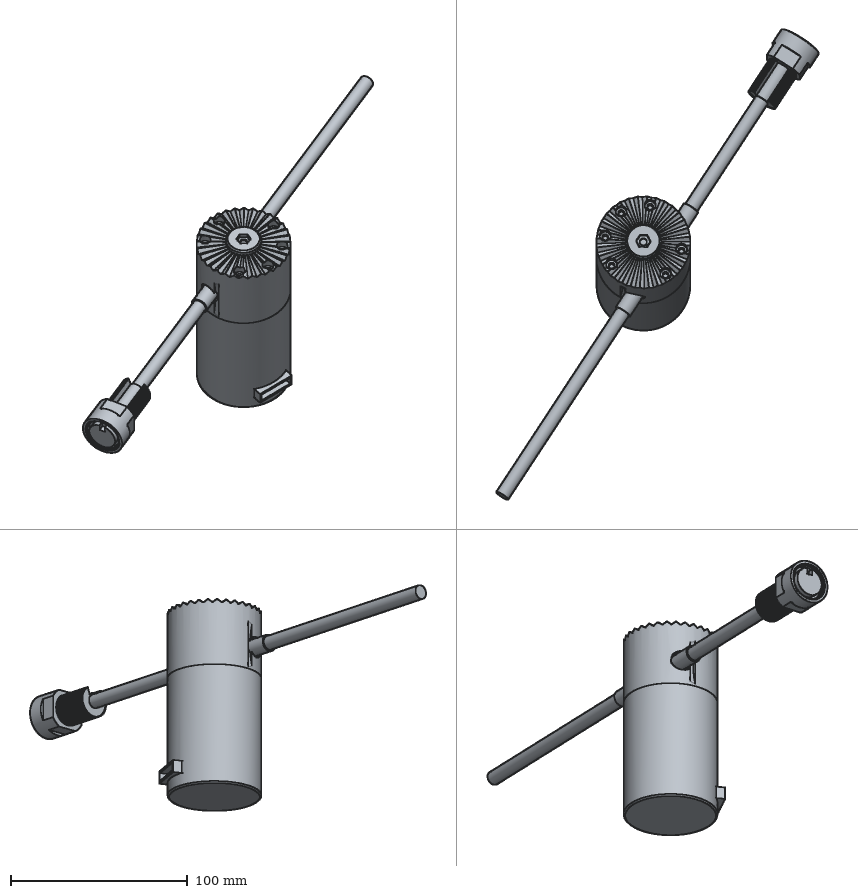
import cadquery as cq
import math


BODY_R = 26.5
HOUSING_H = 70.5
HEAD_TOP = 109.2
BOTTOM_CHAMFER = 1.0

TOOTH_COUNT = 32
TOOTH_DEPTH = 2.0
GAP_SHARE = 0.96
GAP_INNER_R = 6.3
GAP_OUTER_R = 28.2

SCREW_ANGLES = (22.5, 67.5, 157.5)
SCREW_CIRCLE_R = 22.0
SCREW_BORE_D = 6.3
SCREW_BORE_DEPTH = 4.7
SCREW_HOLE_D = 3.5
SCREW_HOLE_DEPTH = 9.5

BUTTON_D = 20.0
BUTTON_TOP = 112.0
BUTTON_SEAT_DEPTH = 2.5
BUTTON_CHAMFER = 1.0
HEX_D = 8.0
HEX_DEPTH = 2.5
PILOT_D = 4.0
PILOT_DEPTH = 1.3

CABLE_X = -9.0
CABLE_Z = 85.0
CABLE_D = 8.0
CABLE_BACK_Y = 162.5
GLAND_D = 9.7
GLAND_INNER_Y = 17.2
GLAND_END_Y = 35.7

CLEARANCE_D = 12.0
CLEARANCE_INNER_Y = 20.5
SLOT_X = -1.5
SLOT_W = 3.0
SLOT_DEPTH = 2.2
SLOT_HALF_HEIGHT = 13.5

GRIP_D = 18.0
GRIP_BACK_Y = -110.2
GRIP_RING_COUNT = 24
GRIP_GROOVE_DEPTH = 0.3
KEYWAY_HALF_TOP = 5.5
KEYWAY_HALF_FLOOR = 2.2
KEYWAY_FLOOR_R = 5.0
COLLAR_D = 25.5
COLLAR_BACK_Y = -132.7
COLLAR_FLAT_END_Y = -141.2
COLLAR_FLATS = 22.0
COLLAR_FRONT_Y = -150.2
FACE_STEP_D = 22.0
FACE_STEP_DEPTH = 1.0
FACE_BORE_D = 20.0
FACE_BORE_DEPTH = 3.0
INSERT_D = 16.5
INSERT_FRONT_Y = -150.5
KEY_NOTCH_W = 3.5
KEY_NOTCH_R = 4.5

SOCKET_ANGLE = -22.5
SOCKET_INNER_R = 18.8
SOCKET_OUTER_R = 29.0
SOCKET_W = 23.2
SOCKET_BOTTOM = 8.0
SOCKET_H = 7.2
SOCKET_WALL = 1.3
SOCKET_OPENING_DEPTH = 4.7


def cable_line_rod(diameter, y_start, y_end):
    """A rod on the cable line between two Y positions, y_start < y_end."""
    origin = cq.Vector(CABLE_X, y_start, CABLE_Z)
    return cq.Workplane(cq.Solid.makeCylinder(diameter / 2, y_end - y_start, origin, cq.Vector(0, 1, 0)))


def vertical_rod(diameter, z_start, z_end, x=0, y=0):
    """A rod parallel to Z."""
    return cq.Workplane(cq.Solid.makeCylinder(diameter / 2, z_end - z_start, cq.Vector(x, y, z_start)))




def socket_block():
    """The socket's outer block, turned to its place on the housing."""
    length = SOCKET_OUTER_R - SOCKET_INNER_R
    block = cq.Workplane("XY").box(length, SOCKET_W, SOCKET_H, centered=(False, True, False))
    return block.translate((SOCKET_INNER_R, 0, SOCKET_BOTTOM)).rotate((0, 0, 0), (0, 0, 1), SOCKET_ANGLE)


def make_socket():
    """The block with a rectangular opening in its outer face."""
    opening = (
        cq.Workplane("XY")
        .box(
            SOCKET_OPENING_DEPTH,
            SOCKET_W - 2 * SOCKET_WALL,
            SOCKET_H - 2 * SOCKET_WALL,
            centered=(False, True, False),
        )
        .translate((SOCKET_OUTER_R - SOCKET_OPENING_DEPTH, 0, SOCKET_BOTTOM + SOCKET_WALL))
        .rotate((0, 0, 0), (0, 0, 1), SOCKET_ANGLE)
    )
    return socket_block().cut(opening)




def make_housing():
    """The lower can, with a seat for the socket."""
    can = cq.Workplane("XY").circle(BODY_R).extrude(HOUSING_H)
    return can.faces("<Z").chamfer(BOTTOM_CHAMFER).cut(socket_block())




def tooth_gap():
    """A V-shaped gap along +X, wider and deeper with distance from the axis."""

    def v_section(radius):
        half_width = GAP_SHARE * radius * math.tan(math.pi / TOOTH_COUNT)
        depth = TOOTH_DEPTH * radius / BODY_R
        corners = [
            cq.Vector(radius, half_width, HEAD_TOP),
            cq.Vector(radius, -half_width, HEAD_TOP),
            cq.Vector(radius, 0, HEAD_TOP - depth),
        ]
        return cq.Wire.makePolygon(corners, close=True)

    return cq.Solid.makeLoft([v_section(GAP_INNER_R), v_section(GAP_OUTER_R)], True)


def cut_teeth(head):
    """Gaps at equal angles around the axis."""
    gap = tooth_gap()
    step = 360 / TOOTH_COUNT
    gaps = [gap.rotate(cq.Vector(0, 0, 0), cq.Vector(0, 0, 1), i * step) for i in range(TOOTH_COUNT)]
    return head.cut(cq.Workplane(cq.Compound.makeCompound(gaps)))


def cut_screw_holes(head):
    """Counterbored holes on one circle, mirrored in the XZ plane."""
    for angle in SCREW_ANGLES:
        x = SCREW_CIRCLE_R * math.cos(math.radians(angle))
        y_offset = SCREW_CIRCLE_R * math.sin(math.radians(angle))
        for y in (-y_offset, y_offset):
            head = head.cut(vertical_rod(SCREW_BORE_D, HEAD_TOP - SCREW_BORE_DEPTH, HEAD_TOP, x, y))
            head = head.cut(vertical_rod(SCREW_HOLE_D, HEAD_TOP - SCREW_HOLE_DEPTH, HEAD_TOP, x, y))
    return head


def cut_gland_seats(head):
    """A gland hole with a wider clearance bore at its mouth, at the front and at the back."""
    head = head.cut(cable_line_rod(GLAND_D, -BODY_R, -GLAND_INNER_Y))
    head = head.cut(cable_line_rod(GLAND_D, GLAND_INNER_Y, BODY_R))
    head = head.cut(cable_line_rod(CLEARANCE_D, -BODY_R, -CLEARANCE_INNER_Y))
    return head.cut(cable_line_rod(CLEARANCE_D, CLEARANCE_INNER_Y, BODY_R))


def cut_slots(head):
    """Narrow upright slots at the front and back; their floors are arcs about an axis along X."""
    arc_r = (SLOT_HALF_HEIGHT**2 + SLOT_DEPTH**2) / (2 * SLOT_DEPTH)
    arc_y = BODY_R - SLOT_DEPTH + arc_r
    for side in (-1, 1):
        start = cq.Vector(SLOT_X - SLOT_W, side * arc_y, CABLE_Z)
        cutter = cq.Solid.makeCylinder(arc_r, SLOT_W, start, cq.Vector(1, 0, 0))
        head = head.cut(cq.Workplane(cutter))
    return head


def make_head():
    """The upper body, with every feature cut into it."""
    head = cq.Workplane("XY").workplane(offset=HOUSING_H).circle(BODY_R).extrude(HEAD_TOP - HOUSING_H)
    head = cut_teeth(head)
    head = cut_screw_holes(head)
    head = cut_gland_seats(head)
    head = cut_slots(head)
    return head.cut(vertical_rod(BUTTON_D, HEAD_TOP - BUTTON_SEAT_DEPTH, HEAD_TOP))




def make_button():
    """The chamfered centre screw with a hexagonal socket and a round pilot below it."""
    button = vertical_rod(BUTTON_D, HEAD_TOP - BUTTON_SEAT_DEPTH, BUTTON_TOP)
    button = button.faces(">Z").chamfer(BUTTON_CHAMFER)
    hexagon = (
        cq.Workplane("XY")
        .workplane(offset=BUTTON_TOP - HEX_DEPTH)
        .transformed(rotate=(0, 0, 90))
        .polygon(6, HEX_D)
        .extrude(HEX_DEPTH)
    )
    pilot_bottom = BUTTON_TOP - HEX_DEPTH - PILOT_DEPTH
    return button.cut(hexagon).cut(vertical_rod(PILOT_D, pilot_bottom, BUTTON_TOP))




def make_glands():
    """Two sleeves that reach into the head from the front and the back."""
    return [
        cable_line_rod(GLAND_D, -GLAND_END_Y, -GLAND_INNER_Y).val(),
        cable_line_rod(GLAND_D, GLAND_INNER_Y, GLAND_END_Y).val(),
    ]


def make_cables():
    """The front cable, from gland to plug, and the longer back cable."""
    return [
        cable_line_rod(CABLE_D, GRIP_BACK_Y, -GLAND_END_Y).val(),
        cable_line_rod(CABLE_D, GLAND_END_Y, CABLE_BACK_Y).val(),
    ]




def make_grip():
    """The ringed grip with one flared keyway along its top."""
    grip = cable_line_rod(GRIP_D, COLLAR_BACK_Y, GRIP_BACK_Y)
    pitch = (GRIP_BACK_Y - COLLAR_BACK_Y) / GRIP_RING_COUNT
    groove_w = pitch / 2
    for i in range(GRIP_RING_COUNT):
        y = COLLAR_BACK_Y + i * pitch
        groove = cable_line_rod(GRIP_D, y, y + groove_w)
        grip = grip.cut(groove.cut(cable_line_rod(GRIP_D - 2 * GRIP_GROOVE_DEPTH, y, y + groove_w)))
    keyway = (
        cq.Workplane("XZ", origin=(CABLE_X, GRIP_BACK_Y, CABLE_Z))
        .polyline(
            [
                (-KEYWAY_HALF_FLOOR, 0),
                (KEYWAY_HALF_FLOOR, 0),
                (KEYWAY_HALF_TOP, GRIP_D / 2),
                (-KEYWAY_HALF_TOP, GRIP_D / 2),
            ]
        )
        .close()
        .extrude(GRIP_BACK_Y - COLLAR_BACK_Y)
    )
    core = cable_line_rod(2 * KEYWAY_FLOOR_R, COLLAR_BACK_Y, GRIP_BACK_Y)
    return grip.cut(keyway.cut(core))


def make_collar():
    """The round collar with four wrench flats at its back and an insert inside its front bore."""
    collar = cable_line_rod(COLLAR_D, COLLAR_FRONT_Y, COLLAR_BACK_Y)
    flats_length = COLLAR_BACK_Y - COLLAR_FLAT_END_Y
    flats = cq.Workplane("XY").box(COLLAR_FLATS, flats_length, COLLAR_FLATS)
    flats = flats.translate((CABLE_X, (COLLAR_BACK_Y + COLLAR_FLAT_END_Y) / 2, CABLE_Z))
    collar = collar.cut(cable_line_rod(COLLAR_D, COLLAR_FLAT_END_Y, COLLAR_BACK_Y).cut(flats))
    bore_floor_y = COLLAR_FRONT_Y + FACE_BORE_DEPTH
    collar = collar.cut(cable_line_rod(FACE_BORE_D, COLLAR_FRONT_Y, bore_floor_y))
    step_floor_y = COLLAR_FRONT_Y + FACE_STEP_DEPTH
    collar = collar.cut(cable_line_rod(FACE_STEP_D, COLLAR_FRONT_Y, step_floor_y))
    insert = cable_line_rod(INSERT_D, INSERT_FRONT_Y, bore_floor_y)
    notch = (
        cq.Workplane("XY")
        .box(KEY_NOTCH_W, bore_floor_y - INSERT_FRONT_Y, INSERT_D, centered=(True, False, False))
        .translate((CABLE_X, INSERT_FRONT_Y, CABLE_Z + KEY_NOTCH_R))
    )
    return collar.union(insert.cut(notch))


def make_plug():
    """Grip and collar in one piece."""
    return make_grip().union(make_collar())


housing = make_housing()
head = make_head()
button = make_button()
socket = make_socket()
plug = make_plug()
glands = make_glands()
cables = make_cables()

result = cq.Compound.makeCompound(
    [housing.val(), head.val(), button.val(), socket.val(), plug.val(), *glands, *cables]
)